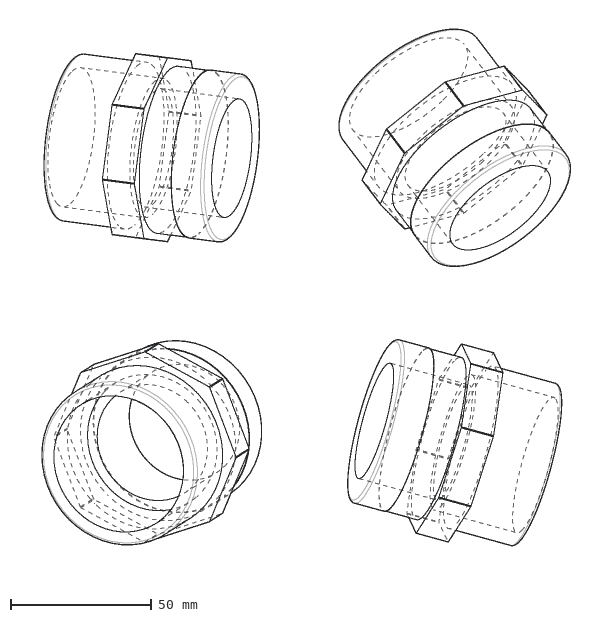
import cadquery as cq
import math

total_length = 60.6
nut_start = 24.25
nut_width = 12.1
collar_length = 12.1
socket_depth = 31.0

nut_corner_diameter = 70.3
nut_across_flats = 65.1
nut_sides = 8
body_diameter = 60.0
collar_diameter = 60.4
socket_diameter = 50.0
bore_diameter = 42.6

end_fillet = 1.0

left_end = -total_length / 2
right_end = total_length / 2


def cylinder(diameter, start, length):
    """Solid cylinder along +X beginning at X = start."""
    return cq.Workplane("YZ", origin=(start, 0, 0)).circle(diameter / 2).extrude(length)


def octagonal_nut():
    """Octagon with corners on the Y and Z axes, each corner trimmed round to a narrow land."""
    start = left_end + nut_start
    sharp_corner_diameter = nut_across_flats / math.cos(math.pi / nut_sides)
    octagon = (
        cq.Workplane("YZ", origin=(start, 0, 0))
        .polygon(nut_sides, sharp_corner_diameter)
        .extrude(nut_width)
    )
    return octagon.intersect(cylinder(nut_corner_diameter, start, nut_width))


body = cylinder(body_diameter, left_end, total_length)
collar = cylinder(collar_diameter, right_end - collar_length, collar_length)
body = body.union(collar)
body = body.faces("<X or >X").edges().fillet(end_fillet)

result = (
    body.union(octagonal_nut())
    .cut(cylinder(bore_diameter, left_end, total_length))
    .cut(cylinder(socket_diameter, left_end, socket_depth))
)